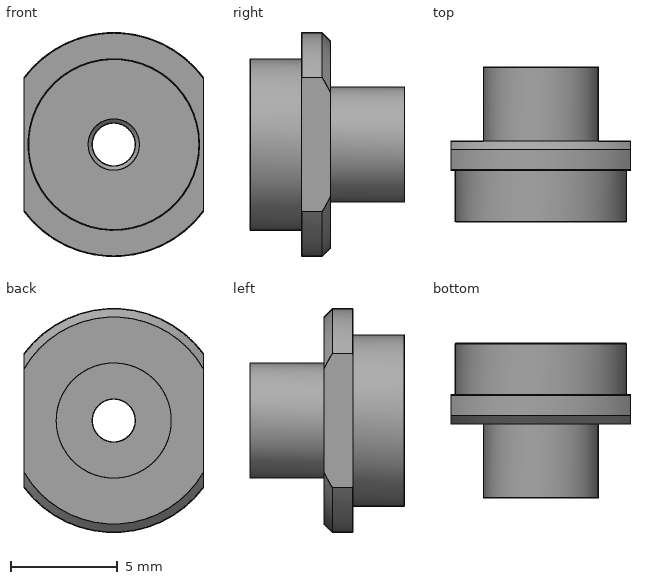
import cadquery as cq

flange_diameter = 10.45
flange_width = 8.38
flange_thickness = 1.37
flange_back_chamfer = 0.4
front_diameter = 8.0
front_length = 2.4
back_diameter = 5.37
total_length = 7.22
bore_diameter = 2.0
bore_chamfer = 0.2
edge_break = 0.03

back_length = total_length - front_length - flange_thickness


def cylinder(diameter, start, length):
    """Cylinder along +Y from the given start position."""
    plane = cq.Plane(origin=(0, start, 0), xDir=(1, 0, 0), normal=(0, 1, 0))
    return cq.Workplane(plane).circle(diameter / 2).extrude(length)


flange = cylinder(flange_diameter, front_length, flange_thickness)
flange = flange.faces(">Y").chamfer(flange_back_chamfer)
flange = flange.faces("<Y").chamfer(edge_break)
flats = cq.Workplane("XY").box(flange_width, 2 * total_length, flange_diameter)
flange = flange.intersect(flats)

front_disc = cylinder(front_diameter, 0, front_length).faces("<Y").chamfer(edge_break)
spigot = cylinder(back_diameter, front_length + flange_thickness, back_length)

bore = cylinder(bore_diameter, 0, total_length)
countersink = cq.Workplane(
    cq.Solid.makeCone(
        bore_diameter / 2 + bore_chamfer,
        bore_diameter / 2,
        bore_chamfer,
        pnt=cq.Vector(0, 0, 0),
        dir=cq.Vector(0, 1, 0),
    )
)

result = flange.union(front_disc).union(spigot).cut(bore).cut(countersink)